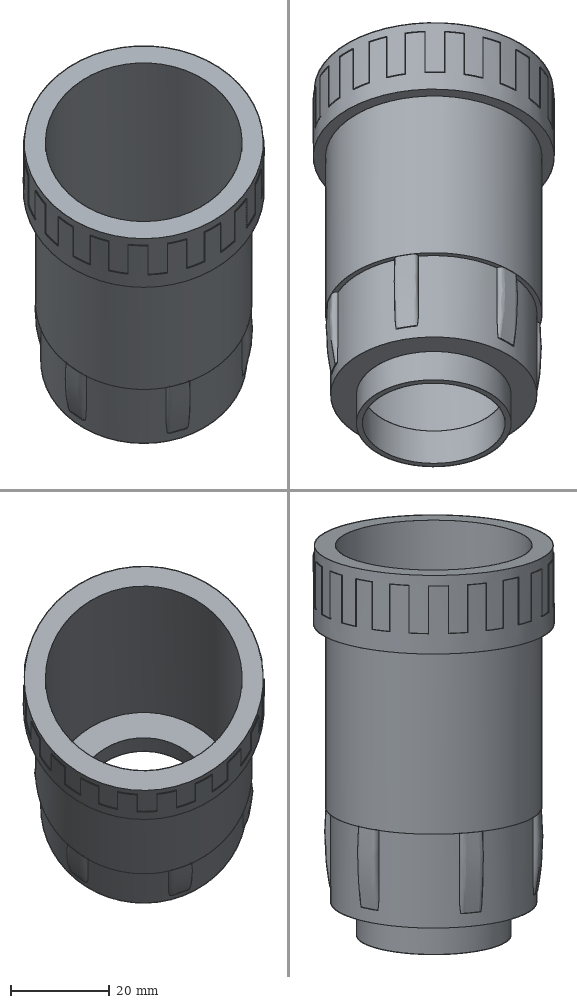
import cadquery as cq
import math

TOTAL_HEIGHT = 82
NECK_TOP = 7.0
BODY_BOTTOM = 27.0
COLLAR_BOTTOM = 65.5
PAD_BOTTOM = 69.8
PAD_TOP = 79.8

NECK_DIAMETER = 31.5
SOCKET_DIAMETER = 42.0
BODY_DIAMETER = 44.0
COLLAR_DIAMETER = 48.6
GRIP_DIAMETER = 49.0

BORE_DIAMETER = 40.0
NECK_BORE_DIAMETER = 29.0
WALL = (SOCKET_DIAMETER - BORE_DIAMETER) / 2
BORE_FLOOR = NECK_TOP + WALL

PAD_COUNT = 19
PAD_PITCH = 360 / PAD_COUNT
PAD_ANGLE = PAD_PITCH / 2

RIB_COUNT = 6
RIB_WIDTH = 5.0
RIB_ROUNDING = 1.0
RIB_BOTTOM = 9.8
RIB_CREST_HEIGHT = 21.15
RIB_CREST_RADIUS = 22.2
RIB_END_RADIUS = 21.15
RIB_TOP = 2 * RIB_CREST_HEIGHT - RIB_BOTTOM
RIB_ROOT_RADIUS = (SOCKET_DIAMETER - WALL) / 2

START_ANGLE = -90


def cylinder(diameter, bottom, top):
    """Upright cylinder on the Z axis between two heights."""
    return cq.Workplane("XY").workplane(offset=bottom).circle(diameter / 2).extrude(top - bottom)


def stepped_outside():
    """Neck, socket, body and collar stacked as one solid."""
    neck = cylinder(NECK_DIAMETER, 0, NECK_TOP)
    socket = cylinder(SOCKET_DIAMETER, NECK_TOP, BODY_BOTTOM)
    body = cylinder(BODY_DIAMETER, BODY_BOTTOM, COLLAR_BOTTOM)
    collar = cylinder(GRIP_DIAMETER, COLLAR_BOTTOM, TOTAL_HEIGHT)
    return neck.union(socket).union(body).union(collar)


def pad_wedge():
    """Triangular prism with its tip on the axis, covering one pad on the +X side."""
    half_width = GRIP_DIAMETER * math.tan(math.radians(PAD_ANGLE / 2))
    return (
        cq.Workplane("XY")
        .workplane(offset=PAD_BOTTOM)
        .polyline([(0, 0), (GRIP_DIAMETER, -half_width), (GRIP_DIAMETER, half_width)])
        .close()
        .extrude(PAD_TOP - PAD_BOTTOM)
    )


def pad_relief():
    """Ring that clears the collar around and above the pads."""
    ring = cylinder(2 * GRIP_DIAMETER, PAD_BOTTOM, TOTAL_HEIGHT)
    ring = ring.cut(cylinder(COLLAR_DIAMETER, PAD_BOTTOM, TOTAL_HEIGHT))
    wedge = pad_wedge()
    for index in range(PAD_COUNT):
        pad_angle = START_ANGLE + index * PAD_PITCH
        ring = ring.cut(wedge.rotate((0, 0, 0), (0, 0, 1), pad_angle))
    return ring


def rib():
    """Rib on the +X side: arched along its height, with rounded outer edges."""
    return (
        cq.Workplane("XZ")
        .moveTo(RIB_ROOT_RADIUS, RIB_BOTTOM)
        .lineTo(RIB_END_RADIUS, RIB_BOTTOM)
        .threePointArc((RIB_CREST_RADIUS, RIB_CREST_HEIGHT), (RIB_END_RADIUS, RIB_TOP))
        .lineTo(RIB_ROOT_RADIUS, RIB_TOP)
        .close()
        .extrude(RIB_WIDTH / 2, both=True)
        .edges("%CIRCLE")
        .fillet(RIB_ROUNDING)
    )


result = stepped_outside().cut(pad_relief())

single_rib = rib()
for index in range(RIB_COUNT):
    rib_angle = START_ANGLE + index * 360 / RIB_COUNT
    result = result.union(single_rib.rotate((0, 0, 0), (0, 0, 1), rib_angle))

result = result.cut(cylinder(BORE_DIAMETER, BORE_FLOOR, TOTAL_HEIGHT))
result = result.cut(cylinder(NECK_BORE_DIAMETER, 0, BORE_FLOOR))